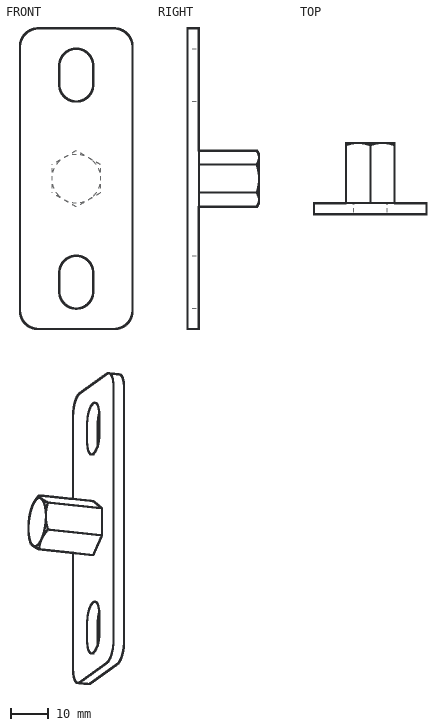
import cadquery as cq
import math

plate_width = 30.0
plate_height = 80.0
plate_thickness = 3.0
corner_radius = 5.0

slot_width = 9.0
slot_length = 14.0
slot_spacing = 55.0

hex_across_flats = 13.0
hex_length = 16.0
hex_across_corners = hex_across_flats / math.cos(math.radians(30))
chamfer_angle = 30.0
end_face_diameter = hex_across_flats


def make_plate():
    plate = cq.Workplane("XY").box(
        plate_width, plate_thickness, plate_height, centered=(True, False, True)
    )
    return plate.edges("|Y").fillet(corner_radius)


def make_slots():
    slot_centres = [(0, -slot_spacing / 2), (0, slot_spacing / 2)]
    return (
        cq.Workplane("XZ")
        .pushPoints(slot_centres)
        .slot2D(slot_length, slot_width, 90)
        .extrude(-plate_thickness)
    )


def make_standoff():
    prism = (
        cq.Workplane("XZ", origin=(0, plate_thickness, 0))
        .transformed(rotate=(0, 0, 90))
        .polygon(6, hex_across_corners)
        .extrude(-hex_length)
    )
    end_y = plate_thickness + hex_length
    corner_radius_hex = hex_across_corners / 2
    end_radius = end_face_diameter / 2
    chamfer_length = (corner_radius_hex - end_radius) * math.tan(math.radians(chamfer_angle))
    envelope = (
        cq.Workplane("XY")
        .moveTo(0, plate_thickness)
        .lineTo(corner_radius_hex, plate_thickness)
        .lineTo(corner_radius_hex, end_y - chamfer_length)
        .lineTo(end_radius, end_y)
        .lineTo(0, end_y)
        .close()
        .revolve(360, (0, 0, 0), (0, 1, 0))
    )
    return prism.intersect(envelope)


result = make_plate().cut(make_slots()).union(make_standoff())